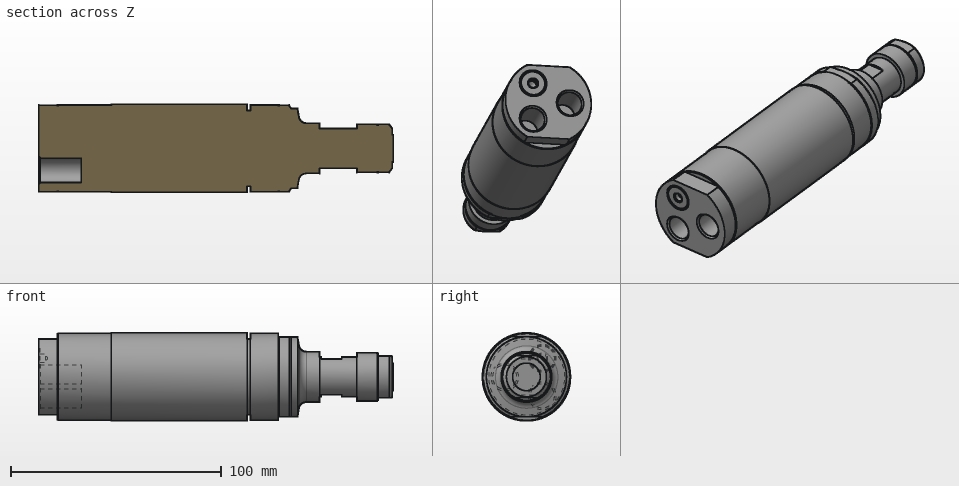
import cadquery as cq
import math


cap_end = 8.8
body_start = 9.3
sleeve_start = 34.5
sleeve_end = 99.0
ring_start = 100.5
ring_end = 113.9
wrench_start = 114.2
wrench_end = 118.9
shoulder_start = 119.9
neck_start = 127.0
neck_end = 133.4
shaft_end = 151.0
collar_end = 160.7
nut_start = 161.2
nut_chamfer_start = 166.4
nut_end = 167.9
total_length = 168.5

body_diameter = 41.5
sleeve_diameter = 42.0
groove_diameter = 36.0
shoulder_diameter = 38.0
neck_diameter = 24.0
shaft_diameter = 19.0
nut_diameter = 23.0
nut_face_diameter = 19.0
tip_diameter = 13.1

seam_depth = 0.3

flare_radius = 3.4
flare_tilt = math.radians(10)

cap_flats = 36.0
wrench_flats = shoulder_diameter
shaft_flats = 17.0
nut_flats = 19.9
shaft_flat_start = 134.2
shaft_flat_end = 143.8

port_diameter = 11.5
port_mouth_diameter = 13.1
port_mouth_depth = (port_mouth_diameter - port_diameter) / 2
port_depth = 20.2
exhaust_port = (-10.5, 0.0)
left_port = (7.4, -9.0)
right_port = (7.4, 9.0)

plug_diameter = port_diameter
plug_groove_floor_diameter = (plug_diameter + port_mouth_diameter) / 2
plug_groove_depth = (port_mouth_diameter - plug_groove_floor_diameter) / 2
socket_mouth_diameter = 5.0
socket_diameter = 4.0
socket_mouth_depth = (socket_mouth_diameter - socket_diameter) / 2
socket_depth = 3.0
socket_tip_slope = math.radians(30)
socket_tip_depth = socket_depth + socket_diameter / 2 * math.tan(socket_tip_slope)


def turned_body():
    """Revolve the stepped outline about the X axis."""
    body = body_diameter / 2
    sleeve = sleeve_diameter / 2
    groove = groove_diameter / 2
    shoulder = shoulder_diameter / 2
    neck = neck_diameter / 2
    shaft = shaft_diameter / 2
    nut = nut_diameter / 2
    tip = tip_diameter / 2

    def flare_point(angle):
        return (
            neck_start - flare_radius * math.cos(angle),
            neck + flare_radius * (1 - math.sin(angle)),
        )

    cone_end_x, cone_end_radius = flare_point(flare_tilt)
    shoulder_end = cone_end_x - (shoulder - cone_end_radius) * math.tan(flare_tilt)
    flare_middle = flare_point((flare_tilt + math.pi / 2) / 2)

    return (
        cq.Workplane("XY")
        .moveTo(0, 0)
        .lineTo(0, body)
        .lineTo(cap_end, body)
        .lineTo(cap_end, body - seam_depth)
        .lineTo(body_start, body - seam_depth)
        .lineTo(body_start, body)
        .lineTo(sleeve_start, body)
        .lineTo(sleeve_start, sleeve)
        .lineTo(sleeve_end, sleeve)
        .lineTo(sleeve_end, groove)
        .lineTo(ring_start, groove)
        .lineTo(ring_start, body)
        .lineTo(ring_end, body)
        .lineTo(ring_end, body - seam_depth)
        .lineTo(wrench_start, body - seam_depth)
        .lineTo(wrench_start, body)
        .lineTo(wrench_end, body)
        .lineTo(shoulder_start, shoulder)
        .lineTo(shoulder_end, shoulder)
        .lineTo(cone_end_x, cone_end_radius)
        .threePointArc(flare_middle, (neck_start, neck))
        .lineTo(neck_end, neck)
        .lineTo(neck_end, shaft)
        .lineTo(shaft_end, shaft)
        .lineTo(shaft_end, nut)
        .lineTo(collar_end, nut)
        .lineTo(collar_end, nut - seam_depth)
        .lineTo(nut_start, nut - seam_depth)
        .lineTo(nut_start, nut)
        .lineTo(nut_chamfer_start, nut)
        .lineTo(nut_end, nut_face_diameter / 2)
        .lineTo(nut_end, tip)
        .lineTo(total_length, tip)
        .lineTo(total_length, 0)
        .close()
        .revolve(360, (0, 0, 0), (1, 0, 0))
    )


def flat_pair(start, end, across):
    """Material to remove above and below so that the given distance is left across Z."""
    width = sleeve_diameter
    upper = (
        cq.Workplane("XY")
        .workplane(offset=across / 2)
        .moveTo((start + end) / 2, 0)
        .rect(end - start, width)
        .extrude(width / 2)
    )
    return upper.union(upper.mirror("XY"))


def axial_cutter(center, *sections):
    """A round cutter along +X through the given (station, diameter) sections."""
    y, z = center
    first_station = sections[0][0]
    last_station, last_diameter = sections[-1]
    outline = [(first_station, 0)]
    outline += [(station, diameter / 2) for station, diameter in sections]
    if last_diameter > 0:
        outline.append((last_station, 0))
    return (
        cq.Workplane("XY")
        .polyline(outline)
        .close()
        .revolve(360, (0, 0, 0), (1, 0, 0))
        .translate((0, y, z))
    )


def open_port(center):
    """A flat-bottomed hole with a chamfered mouth."""
    return axial_cutter(
        center,
        (0, port_mouth_diameter),
        (port_mouth_depth, port_diameter),
        (port_depth, port_diameter),
    )


def plug_groove(center):
    """V groove around the flush plug."""
    mouth = axial_cutter(center, (0, port_mouth_diameter), (plug_groove_depth, plug_groove_floor_diameter))
    plug = axial_cutter(center, (0, plug_diameter), (plug_groove_depth, plug_groove_floor_diameter))
    return mouth.cut(plug)


def plug_socket(center):
    """Countersunk hole with a conical bottom in the middle of the plug."""
    return axial_cutter(
        center,
        (0, socket_mouth_diameter),
        (socket_mouth_depth, socket_diameter),
        (socket_depth, socket_diameter),
        (socket_tip_depth, 0),
    )


result = turned_body()

for start, end, across in (
    (0, cap_end, cap_flats),
    (ring_end, shoulder_start, wrench_flats),
    (shaft_flat_start, shaft_flat_end, shaft_flats),
    (nut_start, nut_end, nut_flats),
):
    result = result.cut(flat_pair(start, end, across))

for port in (exhaust_port, left_port):
    result = result.cut(open_port(port))

result = result.cut(plug_groove(right_port)).cut(plug_socket(right_port))